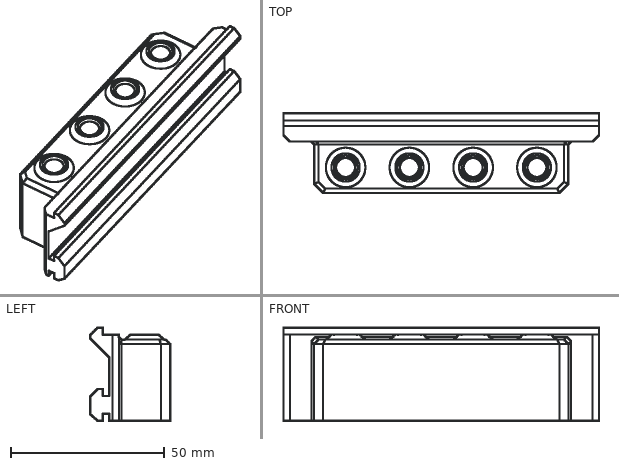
import cadquery as cq


length = 103.0
depth = 26.1
height = 30.4

plate_back = 6.2
plate_front = 9.3
plate_top = 28.1
plate_chamfer = 2.1

hook_tip_back = 2.4
hook_tip_front = 4.1
hook_lip = height - plate_top
upper_hook_base = 26.8
lower_hook_tip = 10.4
lower_hook_base = 2.1

block_length = 83.0
block_top = 26.5
block_corner_chamfer = 3.0
block_top_chamfer = 1.5
flare = 0.9

seat_count = 4
seat_pitch = 20.8
seat_depth = 17.7
seat_base_diameter = 12.9
seat_top_diameter = 9.2
seat_top = plate_top
hole_diameter = 6.2
hole_depth = 10.0
countersink_diameter = 7.7
countersink_angle = 90.0


def make_rail_profile():
    """Plate and both hooks, extruded along X; points are (depth, height)."""
    upper_undercut_end = upper_hook_base - plate_back
    lower_hook_shoulder = lower_hook_tip - hook_lip
    points = [
        (plate_front, 0),
        (plate_front, plate_top),
        (hook_tip_front, plate_top),
        (hook_tip_front, height),
        (hook_tip_back, height),
        (0, height - hook_tip_back),
        (0, upper_hook_base),
        (plate_back, upper_undercut_end),
        (plate_back, lower_hook_shoulder),
        (hook_tip_front, lower_hook_shoulder),
        (hook_tip_front, lower_hook_tip),
        (hook_tip_back, lower_hook_tip),
        (0, lower_hook_tip - hook_tip_back),
        (0, lower_hook_base),
        (hook_tip_back, 0),
        (hook_tip_front, 0),
        (hook_tip_front, hook_lip),
        (plate_back, hook_lip),
        (plate_back, 0),
    ]
    outline = [(-point_depth, point_height) for point_depth, point_height in points]
    rail = cq.Workplane("YZ").polyline(outline).close().extrude(length / 2, both=True)
    return rail.faces("<Y").edges("|Z").chamfer(plate_chamfer)


def make_block():
    """Front block with chamfered upright corners and top edges."""
    block = cq.Workplane("XY").box(
        block_length, depth - plate_front, block_top, centered=(True, False, False)
    )
    block = block.translate((0, -depth, 0))
    block = block.faces("<Y").edges("|Z").chamfer(block_corner_chamfer)
    top_edges = block.faces(">Z").edges().filter(
        lambda edge: edge.Center().y < -plate_front - block_top_chamfer / 2
    )
    return block.newObject(top_edges.vals()).chamfer(block_top_chamfer)


def block_section(wires, growth):
    """Block outline across Y, pushed outwards by growth at the sides and top."""
    half_length = block_length / 2 + growth
    top = block_top + growth
    return wires.polyline([
        (-half_length, 0),
        (-half_length, top - block_top_chamfer),
        (-half_length + block_top_chamfer, top),
        (half_length - block_top_chamfer, top),
        (half_length, top - block_top_chamfer),
        (half_length, 0),
    ]).close()


def make_flare():
    """Sloped collar where the block meets the plate."""
    wires = cq.Workplane("XZ", origin=(0, -plate_front, 0))
    wires = block_section(wires, flare).workplane(offset=flare)
    return block_section(wires, 0).loft(ruled=True)


def make_seat():
    """Conical boss, centred on the origin of X and Y."""
    return (
        cq.Workplane("XY", origin=(0, 0, block_top))
        .circle(seat_base_diameter / 2)
        .workplane(offset=seat_top - block_top)
        .circle(seat_top_diameter / 2)
        .loft()
    )


result = make_rail_profile().union(make_block()).union(make_flare())

first_seat = -seat_pitch * (seat_count - 1) / 2
seat_centers = [(first_seat + i * seat_pitch, -seat_depth) for i in range(seat_count)]
for center_x, center_y in seat_centers:
    result = result.union(make_seat().translate((center_x, center_y, 0)))

result = (
    result.copyWorkplane(cq.Workplane("XY", origin=(0, 0, seat_top)))
    .pushPoints(seat_centers)
    .cskHole(hole_diameter, countersink_diameter, countersink_angle, depth=hole_depth)
)